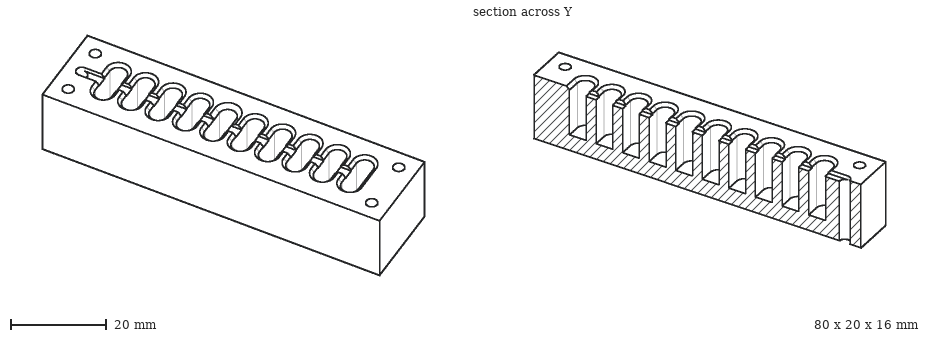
import cadquery as cq

BLOCK_LENGTH = 80.0
BLOCK_WIDTH = 20.0
BLOCK_HEIGHT = 16.0

SLOT_COUNT = 10
SLOT_PITCH = 6.5
SLOT_LENGTH = 10.5
SLOT_WIDTH = 4.0
SLOT_DEPTH = 12.0
SLOT_CENTER_Y = 0.25
MOUTH_CHAMFER = 0.75

WIDE_MOUTH_INDEX = 4
WIDE_MOUTH_CHAMFER = 1.0

HOLE_DIAMETER = 2.5
HOLE_END_MARGIN = 4.0
HOLE_SIDE_MARGIN = 4.0

CHANNEL_WIDTH = HOLE_DIAMETER
CHANNEL_DEPTH = 1.0

hole_x = BLOCK_LENGTH / 2 - HOLE_END_MARGIN
hole_y = BLOCK_WIDTH / 2 - HOLE_SIDE_MARGIN


def slot_x(index):
    """X of a slot axis, counted from the -X end of a row centred on the block."""
    return (index - (SLOT_COUNT - 1) / 2) * SLOT_PITCH


def make_block():
    return cq.Workplane("XY").box(BLOCK_LENGTH, BLOCK_WIDTH, BLOCK_HEIGHT, centered=(True, True, False))


def slot_outline(x, margin):
    """Rounded slot outline on the top face, grown by a margin all round."""
    length = SLOT_LENGTH + 2 * margin
    width = SLOT_WIDTH + 2 * margin
    along_y = 90
    return cq.Workplane("XY", origin=(x, SLOT_CENTER_Y, BLOCK_HEIGHT)).slot2D(length, width, along_y)


def make_mouth(x, chamfer):
    """Solid to remove for a 45 degree chamfer round the top of one slot."""
    return slot_outline(x, chamfer).extrude(-chamfer, taper=45)


def make_slot(x):
    pocket = slot_outline(x, 0).extrude(-SLOT_DEPTH)
    return pocket.union(make_mouth(x, MOUTH_CHAMFER))


def make_wide_half_mouth():
    """Larger chamfer, kept only on the +Y side of the channel axis."""
    x = slot_x(WIDE_MOUTH_INDEX)
    positive_y_half = cq.Workplane("XY", origin=(x, 0, 0)).box(
        SLOT_PITCH, BLOCK_WIDTH / 2, BLOCK_HEIGHT, centered=(True, False, False)
    )
    return make_mouth(x, WIDE_MOUTH_CHAMFER).intersect(positive_y_half)


def make_holes():
    centers = [(sx * hole_x, sy * hole_y) for sx in (-1, 1) for sy in (-1, 1)]
    centers.append((-hole_x, 0))
    return cq.Workplane("XY").pushPoints(centers).circle(HOLE_DIAMETER / 2).extrude(BLOCK_HEIGHT)


def make_channel():
    """Solid to remove for the channel, from the feed hole axis to the last slot axis."""
    channel_length = hole_x + slot_x(SLOT_COUNT - 1)
    return cq.Workplane("XY", origin=(-hole_x, 0, BLOCK_HEIGHT - CHANNEL_DEPTH)).box(
        channel_length, CHANNEL_WIDTH, CHANNEL_DEPTH, centered=(False, True, False)
    )


result = make_block()
for index in range(SLOT_COUNT):
    result = result.cut(make_slot(slot_x(index)))
result = result.cut(make_wide_half_mouth())
result = result.cut(make_channel()).cut(make_holes())